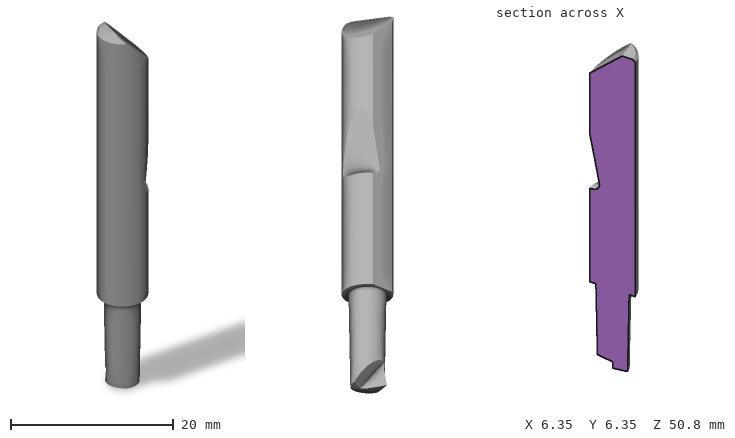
import cadquery as cq
import math


total_length = 50.8
shank_diameter = 6.35
shank_radius = shank_diameter / 2
shank_bottom = 12.7
end_chamfer = 0.35
flat_direction = 150
flat_half_angle = 30
slope_top_y = -1.3

notch_bottom = 27.85
notch_top = 36.6
notch_angle = 10
notch_radius = 1

neck_top_radius = 2.35
neck_taper = 1
neck_bottom_radius = neck_top_radius - shank_bottom * math.tan(math.radians(neck_taper))

tip_height = 2.3
tip_reach = 2.55
tip_top_reach = 2.15
tip_front = 2.1
land_bottom = 0.7
land_top = 0.35
relief_height = 3.15
relief_side_slope = 1
relief_back_slope = 0.18
sole_front_slope = 0.12
sole_back_slope = 0.05
sole_left_slope = 0.03
sole_right_slope = 0.1

oversize = shank_diameter


def make_shank():
    shank = (
        cq.Workplane("XY")
        .workplane(offset=shank_bottom)
        .circle(shank_radius)
        .extrude(total_length - shank_bottom)
        .faces(">Z")
        .chamfer(end_chamfer)
    )
    return shank.cut(flat_cutter()).cut(slope_cutter()).cut(notch_cutter())


def flat_cutter():
    flat_distance = shank_radius * math.cos(math.radians(flat_half_angle))
    return (
        cq.Workplane("XY")
        .box(oversize, 2 * oversize, total_length, centered=(False, True, False))
        .translate((flat_distance, 0, 0))
        .rotate((0, 0, 0), (0, 0, 1), flat_direction)
    )


def slope_cutter():
    run = oversize - slope_top_y
    return (
        cq.Workplane("YZ")
        .moveTo(slope_top_y, total_length)
        .lineTo(oversize, total_length)
        .lineTo(oversize, total_length - run)
        .close()
        .extrude(oversize, both=True)
    )


def notch_cutter():
    lean = math.tan(math.radians(notch_angle))
    floor_y = shank_radius - (notch_top - notch_bottom) * lean
    return (
        cq.Workplane("YZ")
        .moveTo(floor_y, notch_bottom)
        .lineTo(oversize, notch_bottom)
        .lineTo(oversize, notch_top)
        .lineTo(shank_radius, notch_top)
        .close()
        .extrude(oversize, both=True)
        .edges("<Y")
        .fillet(notch_radius)
    )


def make_neck():
    neck = (
        cq.Workplane("XY")
        .circle(neck_bottom_radius)
        .workplane(offset=shank_bottom)
        .circle(neck_top_radius)
        .loft(ruled=True)
    )
    tip_quadrant = cq.Workplane("XY").box(oversize, oversize, tip_height, centered=False)
    return neck.cut(tip_quadrant.translate((-oversize, -oversize, 0))).union(make_tip())


def make_tip():
    bottom = [(0, 0), (-tip_reach, 0), (-land_bottom, -tip_front), (0, -tip_front)]
    top = [(0, 0), (-tip_top_reach, 0), (-land_top, -tip_front), (0, -tip_front)]
    return (
        cq.Workplane("XY")
        .polyline(bottom)
        .close()
        .workplane(offset=tip_height)
        .polyline(top)
        .close()
        .loft(ruled=True)
    )


def below_plane(origin, slope_x, slope_y, x_range, y_range):
    """Solid under the plane through origin that rises slope_x per X and slope_y per Y."""
    plane = cq.Plane(origin=origin, normal=(-slope_x, -slope_y, 1))
    slab = cq.Workplane(plane).rect(4 * oversize, 4 * oversize).extrude(-4 * oversize)
    x_min, x_max = x_range
    y_min, y_max = y_range
    bounds = (
        cq.Workplane("XY")
        .box(x_max - x_min, y_max - y_min, total_length, centered=(False, False, True))
        .translate((x_min, y_min, 0))
    )
    return slab.intersect(bounds)


def cut_tip_reliefs(body):
    negative = (-oversize, 0)
    positive = (0, oversize)
    whole = (-oversize, oversize)
    relief_start = (-neck_bottom_radius, 0, relief_height)
    origin = (0, 0, 0)
    cutters = [
        below_plane(relief_start, -relief_side_slope, relief_back_slope, whole, positive),
        below_plane(origin, -sole_left_slope, -sole_front_slope, negative, negative),
        below_plane(origin, sole_right_slope, -sole_front_slope, positive, negative),
        below_plane(origin, sole_right_slope, sole_back_slope, positive, positive),
    ]
    for cutter in cutters:
        body = body.cut(cutter)
    return body


result = cut_tip_reliefs(make_shank().union(make_neck()))